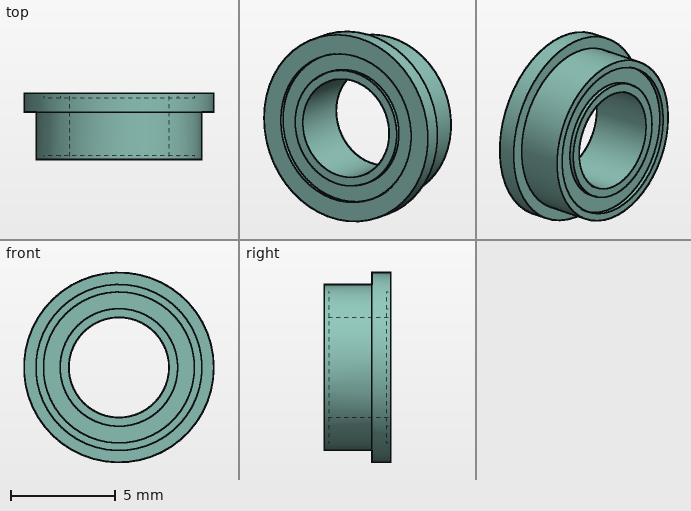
import cadquery as cq

flange_diameter = 9.07
body_diameter = 7.93
groove_outer_diameter = 7.21
groove_inner_diameter = 5.61
bore_diameter = 4.77
width = 3.17
flange_thickness = 0.9
groove_depth = 0.22


def ring(outer_diameter, inner_diameter, start_y, length):
    """Ring about the Y axis, reaching from start_y toward +Y."""
    return (
        cq.Workplane("XZ", origin=(0, start_y, 0))
        .circle(outer_diameter / 2)
        .circle(inner_diameter / 2)
        .extrude(-length)
    )


front_y = -width / 2
back_y = width / 2

body = ring(body_diameter, bore_diameter, front_y, width)
flange = ring(flange_diameter, bore_diameter, back_y - flange_thickness, flange_thickness)
result = body.union(flange)

for groove_start_y in (front_y, back_y - groove_depth):
    groove = ring(groove_outer_diameter, groove_inner_diameter, groove_start_y, groove_depth)
    result = result.cut(groove)